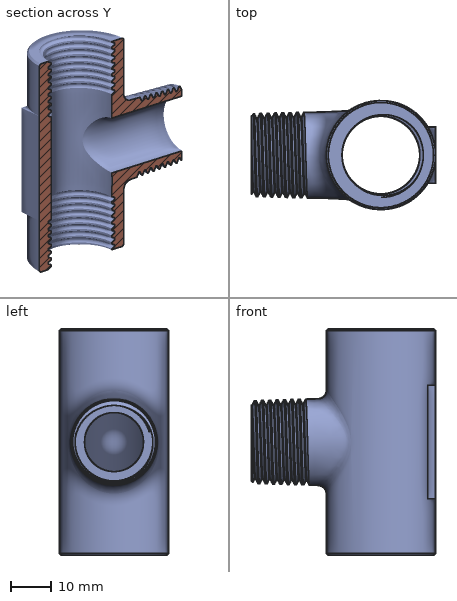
import cadquery as cq
import math

run_diameter = 27.0
run_length = 56.0
run_bore = 19.17
run_end_chamfer = 0.5

pad_width = 14.0
pad_height = 28.0

branch_reach = 32.0
branch_bore = 14.6
branch_end_diameter = 20.44
branch_end_chamfer_diameter = 19.2
branch_fillet = 2.0
taper_on_diameter = 1 / 16

pitch = 25.4 / 14
flank_half_angle = math.radians(27.5)
male_root_flat = 0.25
female_root_flat = 0.4
male_depth = 1.16
female_major_diameter = 20.955
male_turns = 7.65
male_lead_turns = 0.5
female_turns = 8
female_overrun_turns = 1
groove_mouth_margin = 0.3

run_radius = run_diameter / 2
half_length = run_length / 2
taper_angle = math.atan(taper_on_diameter / 2)


def branch_radius(distance):
    """Outer radius of the tapered branch at a distance from its free end."""
    return (branch_end_diameter + distance * taper_on_diameter) / 2


def helical_groove(root_radius, root_flat, depth, height, start, direction, cone_angle=0):
    """Right-hand V groove about Z; direction is +1 to open outward, -1 to open inward."""
    cut_depth = depth + groove_mouth_margin
    half_root = root_flat / 2
    half_mouth = half_root + cut_depth * math.tan(flank_half_angle)
    mouth_radius = root_radius + direction * cut_depth
    profile = (
        cq.Workplane("XZ")
        .moveTo(root_radius, -half_root)
        .lineTo(root_radius, half_root)
        .lineTo(mouth_radius, half_mouth)
        .lineTo(mouth_radius, -half_mouth)
        .close()
    )
    if cone_angle:
        helix = cq.Wire.makeHelix(pitch, height, root_radius, angle=math.degrees(cone_angle))
    else:
        helix = cq.Wire.makeHelix(pitch, height, root_radius)
    groove = profile.sweep(cq.Workplane(obj=helix), isFrenet=True)
    return groove.translate((0, 0, start))


def make_run():
    """Solid cylinder with chamfered ends."""
    cylinder = cq.Workplane("XY").cylinder(run_length, run_radius)
    return cylinder.faces("|Z").edges().chamfer(run_end_chamfer)


def make_branch():
    """Tapered cone from the free end to the run axis."""
    chamfer_radius = branch_end_chamfer_diameter / 2
    chamfer_length = branch_radius(0) - chamfer_radius
    outline = [
        (-branch_reach, 0),
        (-branch_reach, chamfer_radius),
        (chamfer_length - branch_reach, branch_radius(chamfer_length)),
        (0, branch_radius(branch_reach)),
        (0, 0),
    ]
    return cq.Workplane("XZ").polyline(outline).close().revolve(360, (0, 0, 0), (1, 0, 0))


def add_branch(run):
    """Join the branch to the run and round the seam between them."""
    joined = run.union(make_branch())
    seam_corner = (-run_radius, -run_radius, -run_radius)
    opposite_corner = (0, run_radius, run_radius)
    seam_box = cq.selectors.BoxSelector(seam_corner, opposite_corner)
    return joined.edges(seam_box).fillet(branch_fillet)


def make_pad():
    """Block from the run axis out to its flat face."""
    return cq.Workplane("XY").box(run_radius, pad_width, pad_height).translate((run_radius / 2, 0, 0))


def make_bores():
    """Through hole along the run, met by the branch hole."""
    run_hole = cq.Workplane("XY").cylinder(run_length, run_bore / 2)
    branch_hole = cq.Workplane("YZ").circle(branch_bore / 2).extrude(-branch_reach)
    return run_hole.union(branch_hole)


def male_groove():
    """Branch thread groove, starting half a turn ahead of the free end."""
    start = -male_lead_turns * pitch
    height = (male_turns + male_lead_turns) * pitch
    root_radius = branch_radius(start) - male_depth
    groove = helical_groove(root_radius, male_root_flat, male_depth, height, start, 1, taper_angle)
    return groove.rotate((0, 0, 0), (0, 1, 0), 90).translate((-branch_reach, 0, 0))


def female_groove():
    """Thread groove for the upper end of the run, running one turn past the end face."""
    depth = (female_major_diameter - run_bore) / 2
    height = (female_turns + female_overrun_turns) * pitch
    start = half_length - female_turns * pitch
    return helical_groove(female_major_diameter / 2, female_root_flat, depth, height, start, -1)


upper_groove = female_groove()
lower_groove = upper_groove.rotate((0, 0, 0), (1, 0, 0), 180)

result = add_branch(make_run()).union(make_pad())
for groove in (male_groove(), upper_groove, lower_groove):
    result = result.cut(groove)
result = result.cut(make_bores())